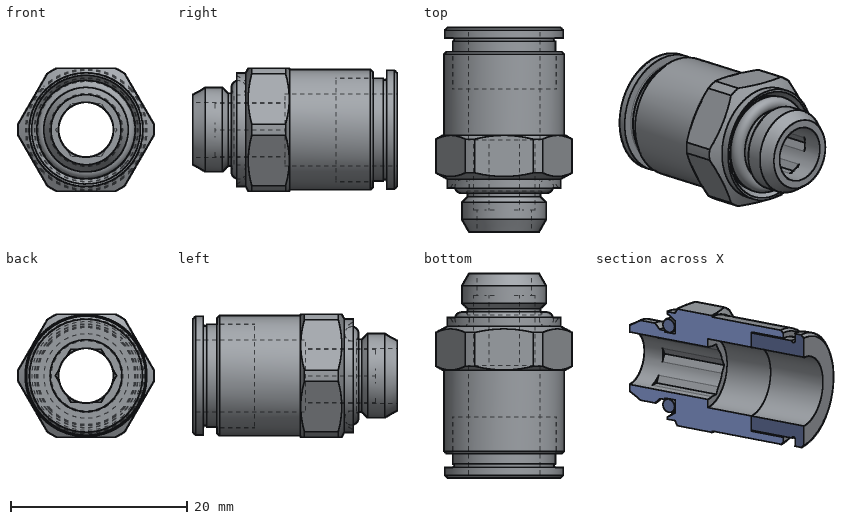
import cadquery as cq
import math

length = 23.25

tip_diameter = 7.95
stub_diameter = 9.6
neck_diameter = 8.3
tip_cone_end = 1.45
stub_end = 3.4
neck_start = 4.02

flange_diameter = 12.9
recess_mouth_diameter = 12.35
recess_floor_diameter = 11.0
seal_diameter = 11.18
seal_seat_diameter = 7.95
flange_start = 5.0
seal_front = 4.4
seal_section = (seal_diameter - seal_seat_diameter) / 2
seal_middle = seal_front + seal_section / 2
recess_floor = seal_front + seal_section
seal_seat_start = 4.7

hex_flats = 14.0
hex_corner_diameter = 15.48
hex_start = 6.02
hex_front_corner = 6.72
hex_back_corner = 10.55
hex_end = 11.02
hex_back_diameter = 13.83

barrel_diameter = 13.7
barrel_end = 20.48
barrel_chamfer = 0.3

bore_diameter = 6.2
key_flats = 6.0
key_start = 2.5
tube_stop = 10.46
tube_diameter = 8.15
sleeve_pocket_diameter = 11.8
sleeve_seat = 16.28

sleeve_diameter = 11.7
collar_diameter = 13.5
collar_chamfer = 0.35
collar_start = 22.02
undercut_start = 21.65
undercut_depth = 0.19


def revolve_about_y(profile):
    """Close a (radius, Y) profile and turn it about the Y axis."""
    return profile.close().revolve(360, (0, 0, 0), (0, 1, 0))


def revolved(points):
    return revolve_about_y(cq.Workplane("XY").polyline(points))


def cylinder(diameter, start, end):
    return cq.Workplane("XZ", origin=(0, start, 0)).circle(diameter / 2).extrude(start - end)


def hexagon(flats, start, end):
    """Hexagonal prism along Y with two corners on the X axis."""
    across_corners = flats / math.cos(math.radians(30))
    return cq.Workplane("XZ", origin=(0, start, 0)).polygon(6, across_corners).extrude(start - end)


def make_wrench_section():
    """Hexagon with turned corners and a cone at each end."""
    turned = revolved([
        (0, hex_start),
        (flange_diameter / 2, hex_start),
        (hex_corner_diameter / 2, hex_front_corner),
        (hex_corner_diameter / 2, hex_back_corner),
        (hex_back_diameter / 2, hex_end),
        (0, hex_end),
    ])
    return hexagon(hex_flats, hex_start, hex_end).intersect(turned)


def make_housing():
    threaded_end = revolved([
        (0, 0),
        (tip_diameter / 2, 0),
        (stub_diameter / 2, tip_cone_end),
        (stub_diameter / 2, stub_end),
        (neck_diameter / 2, neck_start),
        (neck_diameter / 2, seal_seat_start),
        (seal_seat_diameter / 2, seal_seat_start),
        (seal_seat_diameter / 2, recess_floor),
        (recess_floor_diameter / 2, recess_floor),
        (recess_mouth_diameter / 2, flange_start),
        (flange_diameter / 2, flange_start),
        (flange_diameter / 2, hex_start),
        (0, hex_start),
    ])
    barrel = cylinder(barrel_diameter, hex_end, barrel_end).faces(">Y").chamfer(barrel_chamfer)
    body = threaded_end.union(make_wrench_section()).union(barrel)

    body = body.cut(cylinder(bore_diameter, 0, tube_stop))
    body = body.cut(hexagon(key_flats, key_start, tube_stop))
    body = body.cut(cylinder(tube_diameter, tube_stop, sleeve_seat))
    return body.cut(cylinder(sleeve_pocket_diameter, sleeve_seat, barrel_end))


def make_seal():
    """O-ring around its seat, resting on the recess floor."""
    section_radius = seal_section / 2
    ring_radius = seal_seat_diameter / 2 + section_radius
    section = cq.Workplane("XY").center(ring_radius, seal_middle).circle(section_radius)
    return section.revolve(360, (-ring_radius, 0, 0), (-ring_radius, 1, 0))


def make_sleeve():
    """Flanged tube with a rounded undercut below its collar."""
    inner_radius = tube_diameter / 2
    outer_radius = sleeve_diameter / 2
    collar_radius = collar_diameter / 2
    undercut_middle = (undercut_start + collar_start) / 2
    profile = (
        cq.Workplane("XY")
        .moveTo(inner_radius, sleeve_seat)
        .lineTo(outer_radius, sleeve_seat)
        .lineTo(outer_radius, undercut_start)
        .threePointArc((outer_radius - undercut_depth, undercut_middle), (outer_radius, collar_start))
        .lineTo(collar_radius, collar_start)
        .lineTo(collar_radius, length - collar_chamfer)
        .lineTo(collar_radius - collar_chamfer, length)
        .lineTo(inner_radius, length)
    )
    return revolve_about_y(profile)


housing = make_housing()
seal = make_seal()
sleeve = make_sleeve()

result = cq.Compound.makeCompound([housing.val(), seal.val(), sleeve.val()])